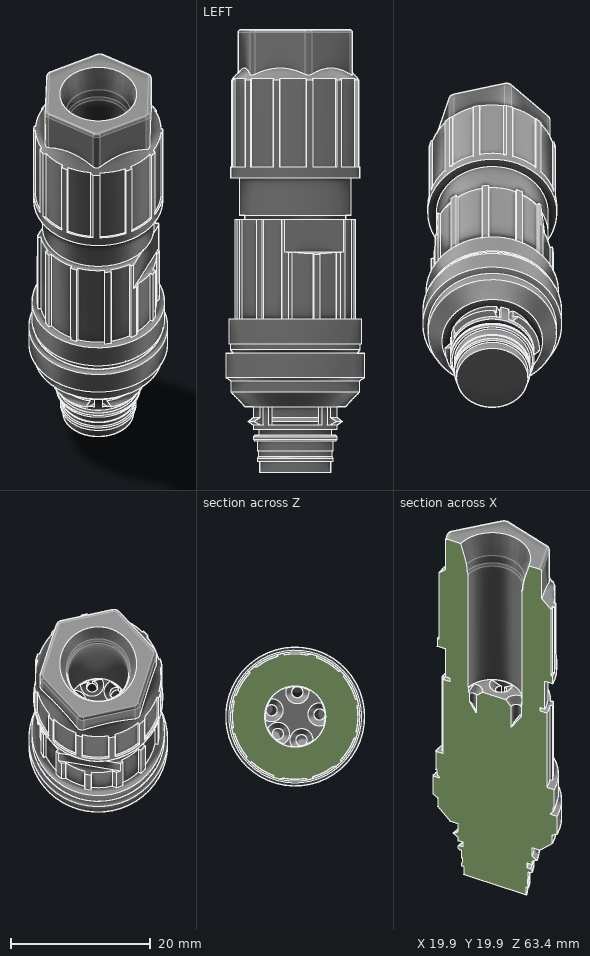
import cadquery as cq
import math

TOTAL_HEIGHT = 63.4

TIP_RADIUS = 5.1
RIM_RADIUS = 5.42
RIM_BOTTOM = 1.55
RIM_TOP = 2.05
RIM_SLOPE_HEIGHT = 0.25
SEAL_GROOVE_RADIUS = 5.28
SEAL_GROOVE_TOP = 3.1
FLANGE_RADIUS = 6.0
FLANGE_BOTTOM = 4.75
FLANGE_TOP = 5.35
FLANGE_CHAMFER = 0.25
TIP_NECK_RADIUS = 5.2

LATCH_BOTTOM = 6.15
LATCH_RADIUS = 6.0
LATCH_CORE_RADIUS = 5.0
LATCH_COUNT = 4
LATCH_HALF_WIDTH = 3.3
LATCH_POST_HALF_WIDTH = 0.6
LATCH_SLOT_BOTTOM = 6.8
BARB_TIP_RADIUS = 6.75
BARB_TIP_HEIGHT = 7.3
BARB_TOP = 7.9

RING_BOTTOM = 9.4
RING_BOTTOM_RADIUS = 7.2
RING_CONE_TOP = 11.5
RING_LOWER_RADIUS = 9.2
RING_LOWER_TOP = 13.1
RING_RADIUS = 9.95
RING_BAND_BOTTOM = 13.6
RING_BAND_TOP = 17.1

COLLAR_SEAT_RADIUS = 8.9
COLLAR_LIP_RADIUS = 9.3
COLLAR_LIP_BOTTOM = 17.6
COLLAR_BOTTOM = 18.4
COLLAR_RADIUS = 9.5
COLLAR_TOP = 22.0
BODY_RADIUS = 8.75
BODY_PANEL_RADIUS = 8.35
BODY_TOP = 36.25
BODY_RIB_WIDTH = 0.95
BODY_RIB_FLARE = 0.5
BODY_TURN = 20.8
FLAT_RIB_OFFSET = 30.5
SIDE_RIB_OFFSET = 33.0

FLAT_APOTHEM = 7.5
FLAT_BOTTOM = 31.6
FLAT_SHELF_DROP = 0.4

NECK_RADIUS = 7.25
NECK_TOP = 36.8
SLEEVE_RADIUS = 8.0

NUT_BOTTOM = 42.15
NUT_RADIUS = 9.25
NUT_PANEL_RADIUS = 9.0
NUT_BAND_TOP = 43.7
NUT_PANEL_TOP = 56.4
NUT_RIB_COUNT = 12
NUT_RIB_WIDTH = 0.95
NUT_RIB_FLARE = 0.4
NUT_RIGHT_FLARED = (4, 10)
NUT_LEFT_FLARED = (2, 8)
NUT_TURN = 13.0
HEX_SIDES = 6
HEX_APOTHEM = 7.5
HEX_CORNER_FILLET = 1.0
HEX_TOP_FILLET = 0.4

BORE_MOUTH_RADIUS = 5.5
BORE_CONE_RADIUS = 4.6
BORE_CONE_DEPTH = 3.6
BORE_STEP_RADIUS = 4.5
BORE_STEP_DEPTH = 4.9
BORE_RADIUS = 4.35
BORE_LEDGE_DEPTH = 5.4
BORE_FLOOR = BODY_TOP

CONTACT_ANGLES = (5, 85, 165, 225, 285)
CONTACT_PITCH_RADIUS = 3.5
CONTACT_RADIUS = 0.8
CONTACT_MOUTH_RADIUS = 1.65
CONTACT_FUNNEL_DEPTH = 1.0
CONTACT_DEPTH = 5.0
CONTACT_FLOOR_SLOPE = 60
CONTACT_RIM = 0.08


def turned(points):
    """Revolve a closed outline of (radius, height) points about the Z axis."""
    return cq.Workplane("XZ").polyline(points).close().revolve(360, (0, 0), (0, 1))


def cylinder(radius, bottom, top):
    return cq.Workplane("XY").workplane(offset=bottom).circle(radius).extrude(top - bottom)


def spun(shape, angle):
    return shape.rotate((0, 0, 0), (0, 0, 1), angle)


def rib(inner, outer, width, bottom, top, right_flare=0.0, left_flare=0.0):
    """Straight rib along +X; a flare widens the foot of one flank."""
    half = width / 2
    outline = [
        (0, -half - right_flare),
        (inner, -half - right_flare),
        (outer, -half),
        (outer, half),
        (inner, half + left_flare),
        (0, half + left_flare),
    ]
    return cq.Workplane("XY").workplane(offset=bottom).polyline(outline).close().extrude(top - bottom)


def make_plug_tip():
    flange_foot = FLANGE_RADIUS - FLANGE_CHAMFER
    return turned([
        (0, 0),
        (TIP_RADIUS, 0),
        (TIP_RADIUS, RIM_BOTTOM),
        (RIM_RADIUS, RIM_BOTTOM),
        (RIM_RADIUS, RIM_TOP),
        (SEAL_GROOVE_RADIUS, RIM_TOP + RIM_SLOPE_HEIGHT),
        (SEAL_GROOVE_RADIUS, SEAL_GROOVE_TOP),
        (RIM_RADIUS, SEAL_GROOVE_TOP),
        (RIM_RADIUS, FLANGE_BOTTOM - FLANGE_CHAMFER),
        (flange_foot, FLANGE_BOTTOM - FLANGE_CHAMFER),
        (FLANGE_RADIUS, FLANGE_BOTTOM),
        (FLANGE_RADIUS, FLANGE_TOP - FLANGE_CHAMFER),
        (flange_foot, FLANGE_TOP),
        (TIP_NECK_RADIUS, FLANGE_TOP),
        (TIP_NECK_RADIUS, LATCH_BOTTOM),
        (0, LATCH_BOTTOM),
    ])


def make_latch_ring():
    """Slotted ring: a wide barbed arm on each side and a slim post on each diagonal."""
    ring = cylinder(LATCH_RADIUS, LATCH_BOTTOM, LATCH_SLOT_BOTTOM)
    core = cylinder(LATCH_CORE_RADIUS, LATCH_SLOT_BOTTOM, RING_BOTTOM)
    barbed = turned([
        (0, LATCH_SLOT_BOTTOM),
        (LATCH_RADIUS, LATCH_SLOT_BOTTOM),
        (BARB_TIP_RADIUS, BARB_TIP_HEIGHT),
        (LATCH_RADIUS, BARB_TOP),
        (LATCH_RADIUS, RING_BOTTOM),
        (0, RING_BOTTOM),
    ])
    solid_ring = cylinder(LATCH_RADIUS, LATCH_SLOT_BOTTOM, RING_BOTTOM)
    arm = rib(BARB_TIP_RADIUS, RING_RADIUS, 2 * LATCH_HALF_WIDTH, LATCH_SLOT_BOTTOM, RING_BOTTOM)
    post = rib(LATCH_RADIUS, RING_RADIUS, 2 * LATCH_POST_HALF_WIDTH, LATCH_SLOT_BOTTOM, RING_BOTTOM)
    pitch = 360 / LATCH_COUNT
    ring = ring.union(core)
    for index in range(LATCH_COUNT):
        ring = ring.union(barbed.intersect(spun(arm, index * pitch)))
        ring = ring.union(solid_ring.intersect(spun(post, (index + 0.5) * pitch)))
    return ring


def make_coupling_ring():
    return turned([
        (0, RING_BOTTOM),
        (RING_BOTTOM_RADIUS, RING_BOTTOM),
        (RING_LOWER_RADIUS, RING_CONE_TOP),
        (RING_LOWER_RADIUS, RING_LOWER_TOP),
        (RING_RADIUS, RING_BAND_BOTTOM),
        (RING_RADIUS, RING_BAND_TOP),
        (COLLAR_SEAT_RADIUS, RING_BAND_TOP),
        (COLLAR_LIP_RADIUS, COLLAR_LIP_BOTTOM),
        (COLLAR_LIP_RADIUS, COLLAR_BOTTOM),
        (COLLAR_RADIUS, COLLAR_BOTTOM),
        (COLLAR_RADIUS, COLLAR_TOP),
        (0, COLLAR_TOP),
    ])


def make_body():
    body = cylinder(BODY_PANEL_RADIUS, COLLAR_TOP, BODY_TOP)
    envelope = cylinder(BODY_RADIUS, COLLAR_TOP, BODY_TOP)

    def body_rib(angle, right_flare=0.0, left_flare=0.0):
        straight = rib(BODY_PANEL_RADIUS, BODY_RADIUS, BODY_RIB_WIDTH, COLLAR_TOP, BODY_TOP,
                       right_flare, left_flare)
        return envelope.intersect(spun(straight, angle))

    for flat_angle in (BODY_TURN, BODY_TURN + 180):
        body = body.union(body_rib(flat_angle))
        body = body.union(body_rib(flat_angle - FLAT_RIB_OFFSET, left_flare=BODY_RIB_FLARE))
        body = body.union(body_rib(flat_angle + FLAT_RIB_OFFSET, right_flare=BODY_RIB_FLARE))
        for offset in (-SIDE_RIB_OFFSET, 0, SIDE_RIB_OFFSET):
            body = body.union(body_rib(flat_angle + 90 + offset))
    for flat_angle in (BODY_TURN, BODY_TURN + 180):
        body = body.cut(spun(make_wrench_flat_cutter(), flat_angle))
    return body


def make_wrench_flat_cutter():
    """Flat facing +X, ended below by a shelf that falls away outward."""
    profile = [
        (FLAT_APOTHEM, FLAT_BOTTOM),
        (BODY_RADIUS, FLAT_BOTTOM - FLAT_SHELF_DROP),
        (BODY_RADIUS, BODY_TOP),
        (FLAT_APOTHEM, BODY_TOP),
    ]
    return cq.Workplane("XZ").polyline(profile).close().extrude(BODY_RADIUS, both=True)


def make_nut():
    """Ribbed barrel with a 45 degree shoulder cone, topped by a rounded hexagon."""
    cone_top = NUT_PANEL_TOP + NUT_PANEL_RADIUS - HEX_APOTHEM
    barrel = cylinder(NUT_PANEL_RADIUS, NUT_BOTTOM, cone_top)
    barrel = barrel.union(cylinder(NUT_RADIUS, NUT_BOTTOM, NUT_BAND_TOP))
    envelope = cylinder(NUT_RADIUS, NUT_BOTTOM, cone_top)
    for index in range(NUT_RIB_COUNT):
        right_flare = NUT_RIB_FLARE if index in NUT_RIGHT_FLARED else 0.0
        left_flare = NUT_RIB_FLARE if index in NUT_LEFT_FLARED else 0.0
        straight = rib(NUT_PANEL_RADIUS, NUT_RADIUS, NUT_RIB_WIDTH, NUT_BOTTOM, cone_top,
                       right_flare, left_flare)
        angle = NUT_TURN + index * 360 / NUT_RIB_COUNT
        barrel = barrel.union(envelope.intersect(spun(straight, angle)))
    shoulder = turned([
        (0, NUT_BOTTOM),
        (NUT_RADIUS, NUT_BOTTOM),
        (NUT_RADIUS, cone_top - (NUT_RADIUS - HEX_APOTHEM)),
        (HEX_APOTHEM, cone_top),
        (0, cone_top),
    ])
    hexagon = (
        cq.Workplane("XY").workplane(offset=NUT_BAND_TOP)
        .polygon(HEX_SIDES, 2 * HEX_APOTHEM / math.cos(math.pi / HEX_SIDES))
        .extrude(TOTAL_HEIGHT - NUT_BAND_TOP)
        .edges("|Z").fillet(HEX_CORNER_FILLET)
        .faces(">Z").edges().fillet(HEX_TOP_FILLET)
    )
    return barrel.intersect(shoulder).union(spun(hexagon, NUT_TURN))


def make_bore():
    return turned([
        (0, BORE_FLOOR),
        (BORE_RADIUS, BORE_FLOOR),
        (BORE_RADIUS, TOTAL_HEIGHT - BORE_LEDGE_DEPTH),
        (BORE_STEP_RADIUS, TOTAL_HEIGHT - BORE_STEP_DEPTH),
        (BORE_CONE_RADIUS, TOTAL_HEIGHT - BORE_CONE_DEPTH),
        (BORE_MOUTH_RADIUS, TOTAL_HEIGHT),
        (0, TOTAL_HEIGHT),
    ])


def make_contact_holes():
    """Funnelled blind holes with floors facing the axis, kept just inside the bore wall."""
    inner_side = CONTACT_PITCH_RADIUS - CONTACT_RADIUS
    outer_side = CONTACT_PITCH_RADIUS + CONTACT_RADIUS
    deepest = BORE_FLOOR - CONTACT_DEPTH
    floor_rise = 2 * CONTACT_RADIUS * math.tan(math.radians(CONTACT_FLOOR_SLOPE))
    floor_wedge = (
        cq.Workplane("XZ")
        .polyline([(inner_side, deepest), (outer_side, deepest), (outer_side, deepest + floor_rise)])
        .close()
        .extrude(CONTACT_RADIUS, both=True)
    )
    hole = turned([
        (0, deepest),
        (CONTACT_RADIUS, deepest),
        (CONTACT_RADIUS, BORE_FLOOR - CONTACT_FUNNEL_DEPTH),
        (CONTACT_MOUTH_RADIUS, BORE_FLOOR),
        (0, BORE_FLOOR),
    ]).translate((CONTACT_PITCH_RADIUS, 0, 0))
    trim = cylinder(BORE_RADIUS - CONTACT_RIM, deepest, BORE_FLOOR)
    hole = hole.intersect(trim).cut(floor_wedge)
    return [spun(hole, angle) for angle in CONTACT_ANGLES]


def make_neck():
    return cylinder(NECK_RADIUS, BODY_TOP, NECK_TOP).union(cylinder(SLEEVE_RADIUS, NECK_TOP, NUT_BOTTOM))


def make_outer_shape():
    return (
        make_plug_tip()
        .union(make_latch_ring())
        .union(make_coupling_ring())
        .union(make_body())
        .union(make_neck())
        .union(make_nut())
    )


result = make_outer_shape().cut(make_bore())
for contact_hole in make_contact_holes():
    result = result.cut(contact_hole)